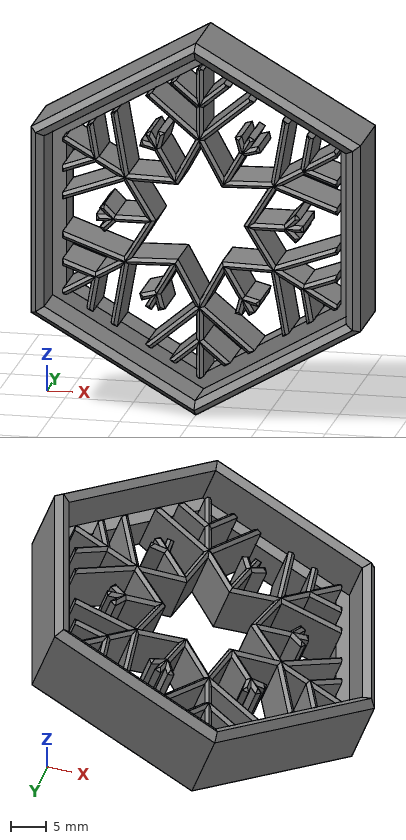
import cadquery as cq
import math


outer_apothem = 24.0
rim_apothem = 23.1
pocket_apothem = 22.0
opening_apothem = 20.0
depth = 11.8
outer_bevel_depth = 1.3
inner_bevel_depth = 0.8
ledge_height = 5.0

bar_width = 1.0
bar_height = 8.0

star_tip_radius = 12.5
star_notch_radius = 7.0
fork_radius = 17.5
branch_angle = 50.0
twig_end_radius = 15.1
twig_fork_radius = 12.5
twig_branch_angle = 45.0
twig_branch_length = 2.5
stem_length = 10.8
long_branch_length = 10.0
short_branch_length = 5.4

sides = 6
sector = 360.0 / sides
corner_factor = 1.0 / math.cos(math.pi / sides)
half_width = bar_width / 2.0
ridge_rise = half_width


def hexagon(apothem, height):
    """Hexagon wire with corners on +-Z, the given height in front of the back face."""
    plane = cq.Workplane("XZ", origin=(0, -height, 0)).transformed(rotate=(0, 0, 90))
    return plane.polygon(sides, 2 * apothem * corner_factor)


def prism(apothem, bottom, top):
    return hexagon(apothem, bottom).extrude(top - bottom)


def frustum(bottom_apothem, top_apothem, bottom, top):
    lower = hexagon(bottom_apothem, bottom).val()
    upper = hexagon(top_apothem, top).val()
    return cq.Workplane(cq.Solid.makeLoft([lower, upper], True))


def polar(radius, angle):
    """Point (x, z) at a radius and an angle from +X toward +Z."""
    return radius * math.cos(math.radians(angle)), radius * math.sin(math.radians(angle))


def bar(start, angle, length):
    """Ridged bar from a point (x, z), with a hipped far end."""
    eave = bar_height - ridge_rise
    section = [
        (-half_width, 0),
        (half_width, 0),
        (half_width, eave),
        (0, bar_height),
        (-half_width, eave),
    ]
    body = cq.Workplane("YZ").polyline(section).close().extrude(length)
    hip = (
        cq.Workplane("XZ", origin=(0, half_width, 0))
        .polyline([(length, eave), (length, bar_height), (length - half_width, bar_height)])
        .close()
        .extrude(bar_width)
    )
    return (
        body.cut(hip)
        .rotate((0, 0, 0), (1, 0, 0), 90)
        .rotate((0, 0, 0), (0, 1, 0), -angle)
        .translate((start[0], 0, start[1]))
    )


def make_frame():
    outer_bevel_start = depth - outer_bevel_depth
    inner_bevel_start = depth - inner_bevel_depth
    body = prism(outer_apothem, 0, outer_bevel_start)
    body = body.union(frustum(outer_apothem, rim_apothem, outer_bevel_start, depth))
    body = body.cut(prism(opening_apothem, 0, ledge_height))
    body = body.cut(prism(pocket_apothem, ledge_height, inner_bevel_start))
    return body.cut(frustum(pocket_apothem, rim_apothem, inner_bevel_start, depth))


def make_star_side():
    """One straight side of the star, from a notch at 0 degrees to a tip, mitred at both ends."""
    notch = polar(star_notch_radius, 0)
    tip = polar(star_tip_radius, sector / 2)
    run_x = tip[0] - notch[0]
    run_z = tip[1] - notch[1]
    length = math.hypot(run_x, run_z)
    angle = math.degrees(math.atan2(run_z, run_x))
    overrun = 2 * bar_width
    start = (notch[0] - overrun * run_x / length, notch[1] - overrun * run_z / length)
    side = bar(start, angle, length + 2 * overrun)
    wedge = (
        cq.Workplane("XZ")
        .polyline([(0, 0), polar(outer_apothem, 0), polar(outer_apothem, sector / 2)])
        .close()
        .extrude(bar_height)
    )
    return side.intersect(wedge)


def make_stem():
    """Stem from a star tip to the frame corner, with two pairs of side branches."""
    angle = sector / 2
    tip = polar(star_tip_radius, angle)
    fork = polar(fork_radius, angle)
    stem = bar(tip, angle, stem_length)
    for root, length in ((tip, long_branch_length), (fork, short_branch_length)):
        for turn in (-branch_angle, branch_angle):
            stem = stem.union(bar(root, angle + turn, length))
    return stem.intersect(prism(opening_apothem, 0, bar_height))


def make_twig():
    """Free twig growing outward from a star notch."""
    twig = bar(polar(star_notch_radius, 0), 0, twig_end_radius - star_notch_radius)
    for turn in (-twig_branch_angle, twig_branch_angle):
        twig = twig.union(bar(polar(twig_fork_radius, 0), turn, twig_branch_length))
    return twig


star_side = make_star_side()
arm = make_stem().union(make_twig()).union(star_side).union(star_side.mirror("XY"))

result = make_frame()
for index in range(sides):
    result = result.union(arm.rotate((0, 0, 0), (0, 1, 0), index * sector))